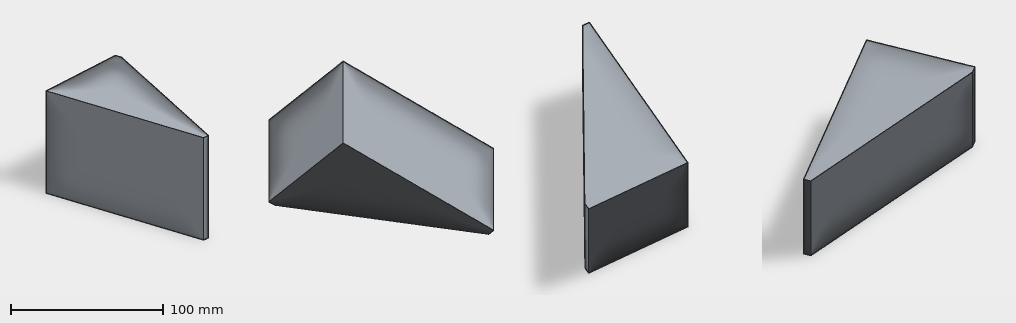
import cadquery as cq

length = 130.0
depth = 75.0
height = 73.0

back_land = 5.0
end_land = 5.0


def wedge_block():
    """Right-angled triangular prism with both acute corners cut square."""
    outline = [
        (0, 0),
        (length, 0),
        (length, end_land),
        (back_land, depth),
        (0, depth),
    ]
    return cq.Workplane("XY").polyline(outline).close().extrude(height)


result = wedge_block()